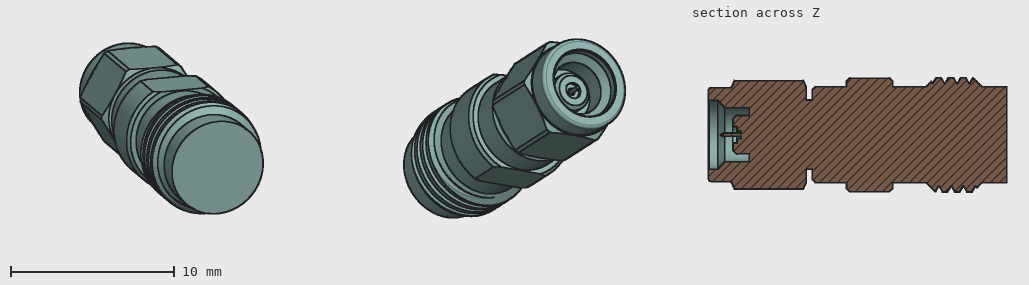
import cadquery as cq
import math

total_length = 18.25

sleeve_radius = 2.88
sleeve_edge_round = 0.2
nut_start = 1.41
nut_end = 6.0
nut_sides = 6
nut_across_flats = 5.88
nut_corner_radius = 3.32
nut_end_radius = nut_across_flats / 2
nut_chamfer_length = 0.19

neck_radius = 2.13
body_start = 6.35
body_radius = 2.94
body_chamfer = 0.2

collar_start = 8.44
collar_end = 11.28
collar_radius = 3.49
collar_chamfer = 0.2
collar_across_flats = 6.0

thread_start = 13.32
thread_end = 16.73
thread_radius = 3.5
thread_pitch = 0.75
thread_depth = 0.38
groove_flank_angle = 30.0
groove_turns = 6
groove_lead_turns = 2
groove_overcut = 0.05
groove_offset = 0.96
bar_margin_turns = 3

mouth_radius = 2.17
mouth_chamfer = 0.07
socket_step_depth = 0.57
socket_radius = 1.65
socket_depth = 2.5

boss_face = 1.5
boss_radius = 1.19
boss_chamfer = 0.23
boss_recess_radius = 0.5
boss_recess_depth = 0.25
pin_hole_radius = 0.22
pin_hole_depth = 0.25
pin_radius = 0.11
pin_tip_start = 0.73
pin_tip_length = 0.2


def revolve_profile(points):
    """Turn (x, radius) points, closed along the axis, about the X axis."""
    outline = [(points[0][0], 0)] + points + [(points[-1][0], 0)]
    return cq.Workplane("XY").polyline(outline).close().revolve(360, (0, 0, 0), (1, 0, 0))


def cylinder(start, end, radius):
    return revolve_profile([(start, radius), (end, radius)])


def chamfered_cylinder(start, end, radius, chamfer):
    """Cylinder along X with a 45 degree chamfer on both ends."""
    return revolve_profile([
        (start, radius - chamfer),
        (start + chamfer, radius),
        (end - chamfer, radius),
        (end, radius - chamfer),
    ])


def make_nut():
    sleeve = cylinder(0, nut_end, sleeve_radius).faces("<X").edges().fillet(sleeve_edge_round)
    across_corners = nut_across_flats / math.cos(math.pi / nut_sides)
    hexagon = (
        cq.Workplane("YZ", origin=(nut_start, 0, 0))
        .polygon(nut_sides, across_corners)
        .extrude(nut_end - nut_start)
    )
    turned_envelope = revolve_profile([
        (nut_start, nut_end_radius),
        (nut_start + nut_chamfer_length, nut_corner_radius),
        (nut_end - nut_chamfer_length, nut_corner_radius),
        (nut_end, nut_end_radius),
    ])
    return sleeve.union(hexagon.intersect(turned_envelope))


def make_body():
    neck = cylinder(nut_start, body_start + body_chamfer, neck_radius)
    barrel = revolve_profile([
        (body_start, body_radius - body_chamfer),
        (body_start + body_chamfer, body_radius),
        (total_length, body_radius),
    ])
    return neck.union(barrel)


def make_collar():
    collar = chamfered_cylinder(collar_start, collar_end, collar_radius, collar_chamfer)
    flats = cq.Workplane("XY").box(2 * total_length, 2 * collar_radius, collar_across_flats)
    return collar.intersect(flats)


def make_thread_groove():
    """Helical V groove, built about Z from its own start and then laid along X."""
    groove_start = thread_start + groove_offset - groove_lead_turns * thread_pitch
    groove_length = groove_turns * thread_pitch
    root_radius = thread_radius - thread_depth
    cutter_height = thread_depth + groove_overcut
    half_width = cutter_height * math.tan(math.radians(groove_flank_angle))
    helix = cq.Wire.makeHelix(thread_pitch, groove_length, root_radius)
    groove = (
        cq.Workplane("XZ")
        .moveTo(root_radius, 0)
        .lineTo(root_radius + cutter_height, half_width)
        .lineTo(root_radius + cutter_height, -half_width)
        .close()
        .sweep(cq.Workplane(helix), isFrenet=True)
    )
    return groove.rotate((0, 0, 0), (0, 1, 0), 90).translate((groove_start, 0, 0))


def make_thread():
    """Thread a bar longer than the groove, then trim it to the coned ends of the thread."""
    rise = thread_radius - body_radius
    envelope = chamfered_cylinder(thread_start, thread_end, thread_radius, rise)
    bar_margin = bar_margin_turns * thread_pitch
    bar = cylinder(thread_start - bar_margin, thread_end + bar_margin, thread_radius)
    return bar.cut(make_thread_groove()).intersect(envelope)


def make_socket():
    bore_radius = mouth_radius - mouth_chamfer
    return revolve_profile([
        (0, mouth_radius),
        (mouth_chamfer, bore_radius),
        (socket_step_depth, bore_radius),
        (socket_step_depth + bore_radius - socket_radius, socket_radius),
        (socket_depth, socket_radius),
    ])


def make_contact():
    """Boss with a stepped recess and a pointed centre pin."""
    boss = revolve_profile([
        (boss_face, boss_radius - boss_chamfer),
        (boss_face + boss_chamfer, boss_radius),
        (socket_depth, boss_radius),
    ])
    recess_floor = boss_face + boss_recess_depth
    pin_hole_floor = recess_floor + pin_hole_depth
    recess = cylinder(boss_face, recess_floor, boss_recess_radius)
    pin_hole = cylinder(recess_floor, pin_hole_floor, pin_hole_radius)
    pin_shank_start = pin_tip_start + pin_tip_length
    pin = cylinder(pin_shank_start, socket_depth, pin_radius)
    tip = (
        cq.Workplane("XY")
        .moveTo(pin_tip_start, 0)
        .lineTo(pin_shank_start, pin_radius)
        .lineTo(pin_shank_start, 0)
        .close()
        .revolve(360, (0, 0, 0), (1, 0, 0))
    )
    return boss.cut(recess).cut(pin_hole).union(pin).union(tip)


shell = make_nut().union(make_body()).union(make_collar()).union(make_thread())
result = shell.cut(make_socket()).union(make_contact())